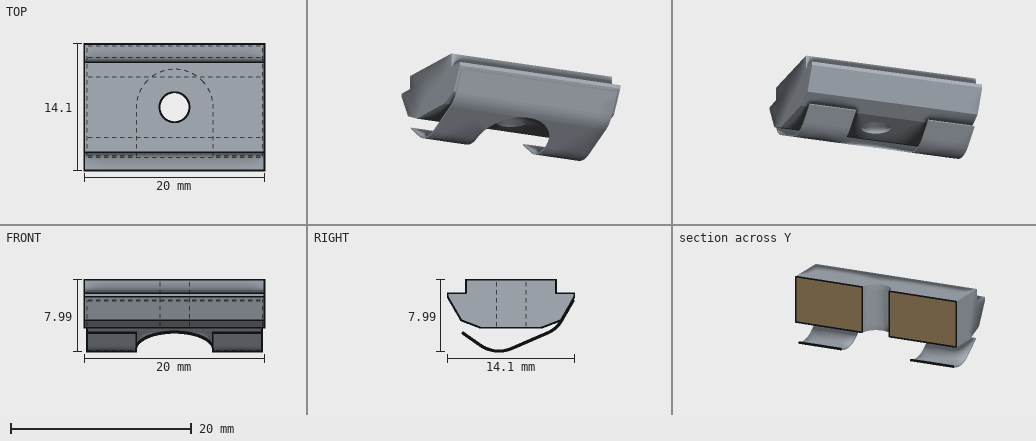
import cadquery as cq
import math

body_length = 20.0
neck_width = 10.0
neck_height = 1.5
flange_width = 14.06
flange_edge_height = 0.4
flank_angle = 60.0
flank_height = 2.62
base_width = 6.7
body_height = 5.35
hole_diameter = 3.3

spring_length = 19.4
spring_thickness = 0.15
spring_setback = 0.4
flank_leg = 3.65
middle_leg = 7.36
free_leg = 4.35
middle_leg_slope = 23.4
free_leg_slope = 35.0
upper_bend_radius = 3.0
lower_bend_radius = 3.5
clearance_radius = 4.25

flank_top_z = -neck_height - flange_edge_height
flank_bottom_z = flank_top_z - flank_height
flank_inset = flank_height / math.tan(math.radians(flank_angle))


def make_body():
    half_outline = [
        (neck_width / 2, 0),
        (neck_width / 2, -neck_height),
        (flange_width / 2, -neck_height),
        (flange_width / 2, flank_top_z),
        (flange_width / 2 - flank_inset, flank_bottom_z),
        (base_width / 2, -body_height),
    ]
    mirrored_outline = [(-y, z) for y, z in reversed(half_outline)]
    body = (
        cq.Workplane("YZ")
        .polyline(half_outline + mirrored_outline)
        .close()
        .extrude(body_length / 2, both=True)
    )
    hole = cq.Workplane("XY").circle(hole_diameter / 2).extrude(-body_height)
    return body.cut(hole)


def travel(point, distance, heading):
    """Move from a (Y, Z) point; heading is in degrees, counterclockwise from +Y."""
    angle = math.radians(heading)
    return (point[0] + distance * math.cos(angle), point[1] + distance * math.sin(angle))


def lower_corner(corner, heading_in, heading_out):
    """Corner of the sheet's lower face, on the bisector of the bend."""
    half_turn = (heading_out - heading_in) / 2
    bisector = (heading_in + heading_out) / 2 + 90
    return travel(corner, spring_thickness / math.cos(math.radians(half_turn)), bisector)


def make_spring():
    flank_heading = 180 + flank_angle
    middle_heading = 180 + middle_leg_slope
    free_heading = 180 - free_leg_slope

    start = travel((flange_width / 2, flank_top_z), spring_setback, flank_heading)
    upper_bend = travel(start, flank_leg, flank_heading)
    lower_bend = travel(upper_bend, middle_leg, middle_heading)
    tip = travel(lower_bend, free_leg, free_heading)

    lower_face_start = travel(start, spring_thickness, flank_heading + 90)
    lower_face_upper_bend = lower_corner(upper_bend, flank_heading, middle_heading)
    lower_face_lower_bend = lower_corner(lower_bend, middle_heading, free_heading)
    lower_face_tip = travel(tip, spring_thickness, free_heading + 90)

    sheet = (
        cq.Workplane("YZ")
        .polyline([start, upper_bend, lower_bend, tip,
                   lower_face_tip, lower_face_lower_bend, lower_face_upper_bend, lower_face_start])
        .close()
        .extrude(spring_length / 2, both=True)
    )
    bends = [
        (upper_bend, upper_bend_radius),
        (lower_face_upper_bend, upper_bend_radius + spring_thickness),
        (lower_bend, lower_bend_radius),
        (lower_face_lower_bend, lower_bend_radius + spring_thickness),
    ]
    for (y, z), radius in bends:
        corner_edge = cq.selectors.NearestToPointSelector((0, y, z))
        sheet = sheet.edges("|X").edges(corner_edge).fillet(radius)
    return sheet.cut(make_clearance())


def make_clearance():
    """Vertical U-shaped cutter, round around the screw axis and open towards -Y."""
    depth = 2 * body_height
    round_end = cq.Workplane("XY").circle(clearance_radius).extrude(-depth)
    open_end = (
        cq.Workplane("XY")
        .rect(2 * clearance_radius, flange_width)
        .extrude(-depth)
        .translate((0, -flange_width / 2, 0))
    )
    return round_end.union(open_end)


result = make_body().union(make_spring())